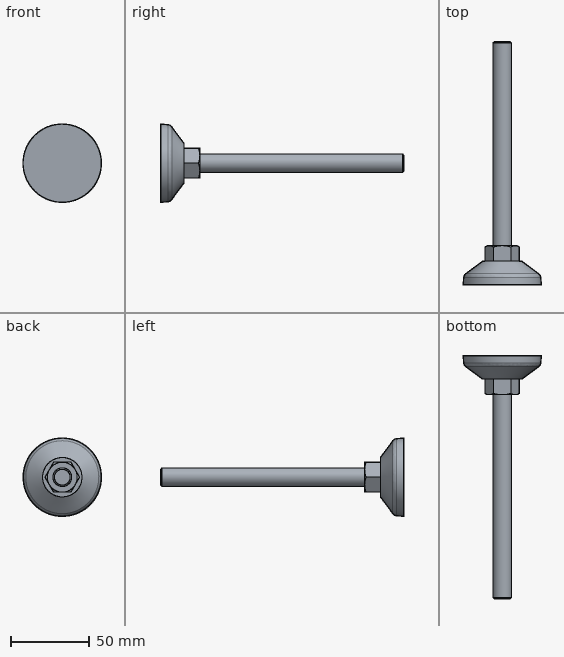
import cadquery as cq
import math

total_length = 155.0

foot_diameter = 50.0
foot_height = 15.0
rim_corner_height = 6.2
rim_draft_angle = 5.0
cone_angle = 36.5
shoulder_radius = 3.4

stud_diameter = 12.0
stud_tip_chamfer = 1.0
hex_across_flats = 19.0
hex_height = 9.9
hex_chamfer_angle = 30.0

foot_radius = foot_diameter / 2
rim_corner_radius = foot_radius - rim_corner_height * math.tan(math.radians(rim_draft_angle))
cone_rise = foot_height - rim_corner_height
foot_top_radius = rim_corner_radius - cone_rise / math.tan(math.radians(cone_angle))
stud_radius = stud_diameter / 2
hex_top = foot_height + hex_height
hex_across_corners = hex_across_flats / math.cos(math.radians(30))


def revolve_about_y(points):
    """Turn a closed (radius, Y) outline around the Y axis."""
    return cq.Workplane("XY").polyline(points).close().revolve(360, (0, 0, 0), (0, 1, 0))


def make_foot():
    """Solid foot with a flat base, drafted rim and rounded shoulder."""
    foot = revolve_about_y([
        (0, 0),
        (foot_radius, 0),
        (rim_corner_radius, rim_corner_height),
        (foot_top_radius, foot_height),
        (0, foot_height),
    ])
    shoulder_zone = cq.selectors.BoxSelector(
        (-foot_diameter, rim_corner_height / 2, -foot_diameter),
        (foot_diameter, (rim_corner_height + foot_height) / 2, foot_diameter),
    )
    return foot.edges("%CIRCLE").edges(shoulder_zone).fillet(shoulder_radius)


def make_hex_collar():
    """Hexagon with corners on the X axis and its upper corners turned off."""
    hexagon = (
        cq.Workplane("XZ", origin=(0, foot_height, 0))
        .polygon(6, hex_across_corners)
        .extrude(-hex_height)
    )
    flat_radius = hex_across_flats / 2
    corner_radius = hex_across_corners / 2
    chamfer_drop = (corner_radius - flat_radius) * math.tan(math.radians(hex_chamfer_angle))
    turned_envelope = revolve_about_y([
        (0, foot_height),
        (corner_radius, foot_height),
        (corner_radius, hex_top - chamfer_drop),
        (flat_radius, hex_top),
        (0, hex_top),
    ])
    return hexagon.intersect(turned_envelope)


def make_stud():
    """Round stud and hexagonal collar in one piece, standing on the foot."""
    shank = (
        cq.Workplane("XZ", origin=(0, foot_height, 0))
        .circle(stud_radius)
        .extrude(foot_height - total_length)
        .faces(">Y")
        .chamfer(stud_tip_chamfer)
    )
    return make_hex_collar().union(shank)


foot = make_foot()
stud = make_stud()
result = cq.Compound.makeCompound([foot.val(), stud.val()])